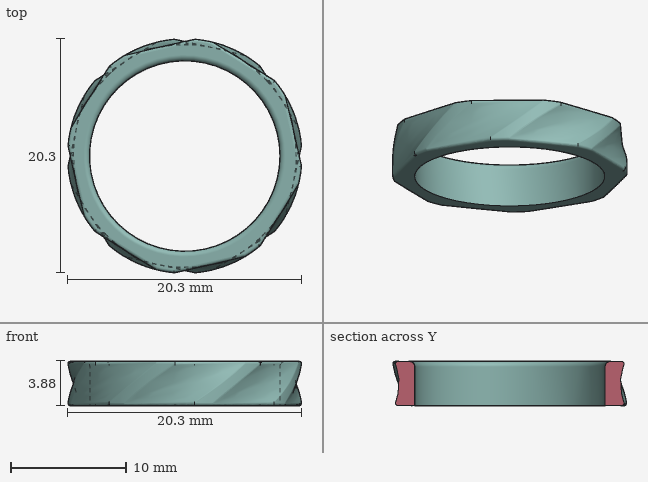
import cadquery as cq
import math

outer_radius = 10.2
bore_radius = 8.27
height = 3.88
rib_count = 8
end_crest_angle = 10.2
waist_crest_angle = 8.4
first_rib_angle = 7.5
twist_angle = 30.0
edge_round = 0.25
bore_round = 0.49

cutter_half_width = 4.06
cutter_depth = 1.62

rib_pitch = 360.0 / rib_count


def cutter_section(level, crest_angle):
    """Rectangle whose inner side lies on the flat's chord at the given height."""
    flat_half_angle = math.radians((rib_pitch - crest_angle) / 2)
    inner = outer_radius * math.cos(flat_half_angle)
    outer = inner + cutter_depth
    turn = first_rib_angle + rib_pitch / 2 + twist_angle * level / height
    corners = [
        (inner, -cutter_half_width),
        (outer, -cutter_half_width),
        (outer, cutter_half_width),
        (inner, cutter_half_width),
    ]
    plane = cq.Workplane("XY").workplane(offset=level).transformed(rotate=(0, 0, turn))
    return plane.polyline(corners).close().val()


def flat_cutter():
    """Twisted cutter, slightly deeper at mid-height than at the faces."""
    sections = [
        cutter_section(0, end_crest_angle),
        cutter_section(height / 2, waist_crest_angle),
        cutter_section(height, end_crest_angle),
    ]
    return cq.Workplane(cq.Solid.makeLoft(sections))


def bore_tool():
    """Bore whose upper mouth is rounded outward."""
    mouth_radius = bore_radius + bore_round
    bend_inset = bore_round * (1 - math.sqrt(0.5))
    return (
        cq.Workplane("XZ")
        .lineTo(bore_radius, 0)
        .lineTo(bore_radius, height - bore_round)
        .threePointArc((bore_radius + bend_inset, height - bend_inset), (mouth_radius, height))
        .lineTo(0, height)
        .close()
        .revolve(360, (0, 0, 0), (0, 1, 0))
    )


body = cq.Workplane("XY").circle(outer_radius).extrude(height)
cutter = flat_cutter()
for flat in range(rib_count):
    body = body.cut(cutter.rotate((0, 0, 0), (0, 0, 1), flat * rib_pitch))

body = body.edges().fillet(edge_round)
result = body.cut(bore_tool())